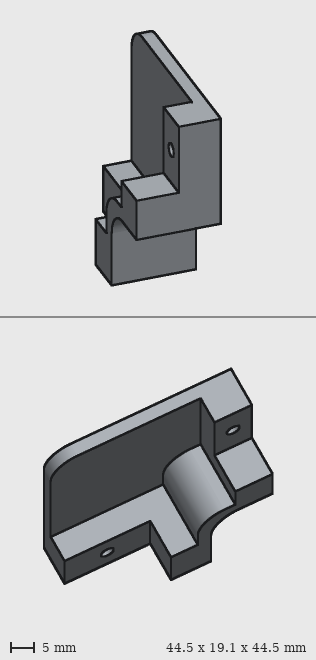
import cadquery as cq

side = 44.45
depth = 19.05

plate_thickness = 3.175
pad_thickness = 9.525

corner_radius = 6.35
wall = 3.175
cutout_x = 29.845
cutout_z = 18.923
wall_x = cutout_x - wall
wall_z = cutout_z + wall

bottom_ledge_height = 11.049
side_ledge_width = 8.89
side_ledge_x = side - side_ledge_width

end_block_length = 9.525
bottom_pad_length = cutout_x - end_block_length
side_pad_z = cutout_z + end_block_length
hole_diameter = 3.0

cut_margin = 1.0


def box(x_min, x_max, y_min, y_max, z_min, z_max):
    """Axis-aligned box between the given limits."""
    size = (x_max - x_min, y_max - y_min, z_max - z_min)
    return cq.Workplane("XY").box(*size, centered=False).translate((x_min, y_min, z_min))


def rounded_box(x_min, x_max, y_min, y_max, z_min, z_max):
    """Box with its upper -X edge rounded."""
    return box(x_min, x_max, y_min, y_max, z_min, z_max).edges("<X and >Z").fillet(corner_radius)


def outer_block():
    """Full-depth block with the upper -X corner rounded and the lower +X corner cut out."""
    block = rounded_box(0, side, 0, depth, 0, side)
    cutout = rounded_box(
        cutout_x, side + cut_margin, -cut_margin, depth + cut_margin, -cut_margin, cutout_z
    )
    return block.cut(cutout)


def recess():
    """Space in front of the plate, bounded by the ledges and the curved wall."""
    y_max = depth - plate_thickness
    space = box(-cut_margin, side_ledge_x, -cut_margin, y_max, bottom_ledge_height, side + cut_margin)
    wall_body = rounded_box(wall_x, side, -2 * cut_margin, depth, 0, wall_z)
    return space.cut(wall_body)


def pad_clearances():
    """Space in front of the two mounting pads."""
    y_max = depth - pad_thickness
    bottom = box(-cut_margin, bottom_pad_length, -cut_margin, y_max, -cut_margin, bottom_ledge_height)
    upper = box(side_ledge_x, side + cut_margin, -cut_margin, y_max, side_pad_z, side + cut_margin)
    return bottom, upper


def mounting_hole(x, z):
    """Through hole along Y."""
    return cq.Workplane("XZ").center(x, z).circle(hole_diameter / 2).extrude(-depth)


result = outer_block().cut(recess())
for clearance in pad_clearances():
    result = result.cut(clearance)

hole_centers = [
    (bottom_pad_length / 2, bottom_ledge_height / 2),
    (side - side_ledge_width / 2, (side_pad_z + side) / 2),
]
for x, z in hole_centers:
    result = result.cut(mounting_hole(x, z))